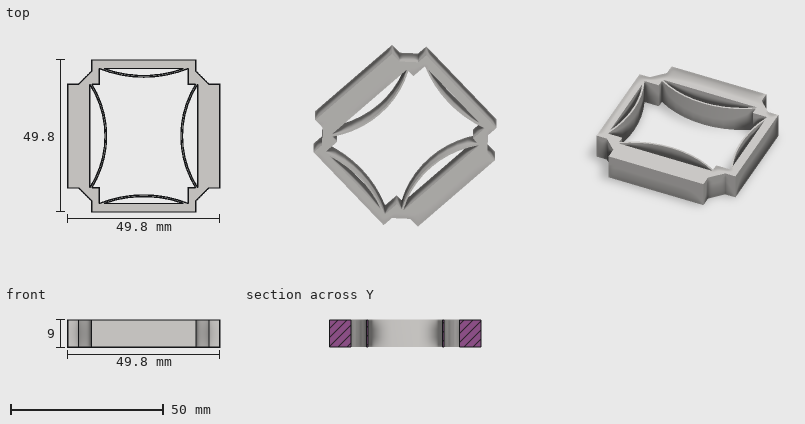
import cadquery as cq

outer_size = 49.8
height = 9.0
flange_length = 34.0
web_reach = 4.25

wide_opening_x = 35.2
wide_opening_y = 33.7
long_opening_x = 29.0
long_opening_y = 44.0

spring_thickness = 0.6
y_spring_crest = 19.2
x_spring_crest = 12.1
y_spring_end = (long_opening_x / 2, long_opening_y / 2)
x_spring_end = (wide_opening_y / 2, 16.9)


def make_frame():
    """Notched square ring with the cross-shaped opening cut through it."""
    half = outer_size / 2
    flange = flange_length / 2
    web = flange + web_reach
    quarter = [(half, flange), (web, flange), (flange, web), (flange, half)]
    upper = quarter + [(-x, y) for x, y in reversed(quarter)]
    outline = upper + [(-x, -y) for x, y in upper]
    body = cq.Workplane("XY").polyline(outline).close().extrude(height)
    wide_opening = cq.Workplane("XY").rect(wide_opening_x, wide_opening_y).extrude(height)
    long_opening = cq.Workplane("XY").rect(long_opening_x, long_opening_y).extrude(height)
    return body.cut(wide_opening).cut(long_opening)


def make_spring(end, crest, opening_edge, opening_half_width):
    """Arc-shaped leaf on the +Y side, trimmed where it meets the frame."""
    half_chord, end_distance = end
    rise = end_distance - crest
    inner_radius = (half_chord**2 + rise**2) / (2 * rise)
    ring = (
        cq.Workplane("XY")
        .center(0, crest + inner_radius)
        .circle(inner_radius)
        .circle(inner_radius - spring_thickness)
        .extrude(height)
    )
    trim = (
        cq.Workplane("XY")
        .center(0, (crest + opening_edge) / 2)
        .rect(2 * opening_half_width, opening_edge - crest)
        .extrude(height)
    )
    return ring.intersect(trim)


result = make_frame()
y_spring = make_spring(y_spring_end, y_spring_crest, long_opening_y / 2, long_opening_x / 2)
x_spring = make_spring(x_spring_end, x_spring_crest, wide_opening_x / 2, wide_opening_y / 2)
for turn in (0, 180):
    result = result.union(y_spring.rotate((0, 0, 0), (0, 0, 1), turn))
    result = result.union(x_spring.rotate((0, 0, 0), (0, 0, 1), turn + 90))